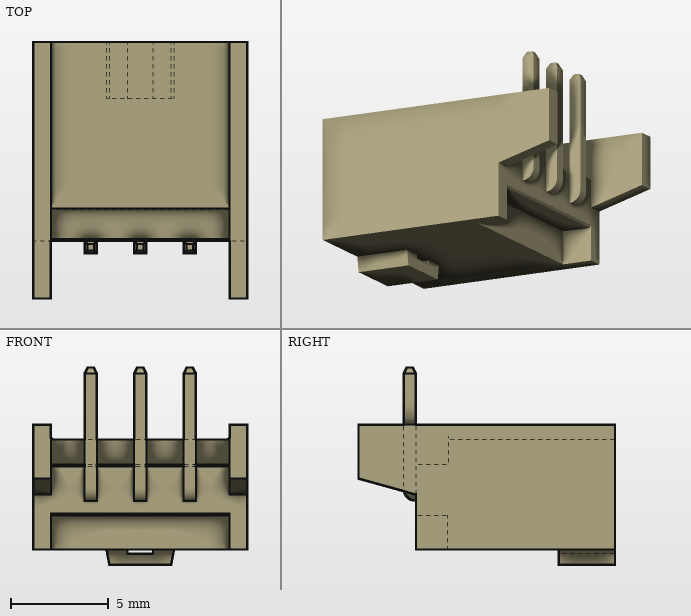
import cadquery as cq


width = 10.97
total_length = 13.14
total_height = 10.1
wing_reach = 2.94
body_length = total_length - wing_reach
wall_height = 6.4

wall_thickness = 0.91
wing_front_bottom = 3.63
wing_root_bottom = 2.81
inner_width = width - 2 * wall_thickness

deck_height = 5.64
ledge_height = 4.35
ledge_depth = 1.67
ledge_chamfer = 0.1
deck_fillet = 0.15

recess_height = 1.75
recess_depth = 1.63
recess_chamfer = 0.1

tab_height = 0.79
tab_top_width = 3.47
tab_bottom_width = 3.17
tab_length = 2.89
tab_slot_width = 1.3
tab_slot_depth = 0.21

pin_count = 3
pin_pitch = 2.54
pin_size = 0.63
pin_bottom = 2.5
pin_top = total_height - tab_height
pin_tip_height = 0.32
pin_tip_size = 0.32


def extrude_across(outline, extent):
    """Extrude a (Y, Z) outline along X, centred on X = 0."""
    return cq.Workplane("YZ").polyline(outline).close().extrude(extent / 2, both=True)


def make_block():
    """Stepped block between the walls, with its front recess."""
    return extrude_across(
        [
            (recess_depth, 0),
            (recess_depth, recess_height),
            (recess_chamfer, recess_height),
            (0, recess_height + recess_chamfer),
            (0, ledge_height - ledge_chamfer),
            (ledge_chamfer, ledge_height),
            (ledge_depth, ledge_height),
            (ledge_depth, deck_height),
            (body_length, deck_height),
            (body_length, 0),
        ],
        inner_width,
    )


def make_wall(side):
    """Full-length side wall with a tapered wing; side is -1 or +1."""
    outline = [
        (0, 0),
        (0, wing_root_bottom),
        (-wing_reach, wing_front_bottom),
        (-wing_reach, wall_height),
        (body_length, wall_height),
        (body_length, 0),
    ]
    wall_centre = side * (width - wall_thickness) / 2
    return extrude_across(outline, wall_thickness).translate((wall_centre, 0, 0))


def make_deck_fillet(side):
    """Concave fillet between the deck and the inner face of a wall."""
    wall_x = side * inner_width / 2
    return (
        cq.Workplane("XZ", origin=(0, body_length, 0))
        .moveTo(wall_x, deck_height)
        .lineTo(wall_x, deck_height + deck_fillet)
        .radiusArc((wall_x - side * deck_fillet, deck_height), side * deck_fillet)
        .close()
        .extrude(body_length - ledge_depth)
    )


def make_tab():
    """Tapered keying tab with a shallow slot along its root."""
    return (
        cq.Workplane("XZ", origin=(0, body_length, 0))
        .polyline(
            [
                (-tab_top_width / 2, 0),
                (-tab_bottom_width / 2, -tab_height),
                (tab_bottom_width / 2, -tab_height),
                (tab_top_width / 2, 0),
                (tab_slot_width / 2, 0),
                (tab_slot_width / 2, -tab_slot_depth),
                (-tab_slot_width / 2, -tab_slot_depth),
                (-tab_slot_width / 2, 0),
            ]
        )
        .close()
        .extrude(tab_length)
    )


def make_pin(x):
    """Upright square pin with a rounded elbow and a tapered tip."""
    shaft_top = pin_top - pin_tip_height
    shaft = (
        cq.Workplane("YZ")
        .moveTo(0, pin_bottom)
        .radiusArc((-pin_size, pin_bottom + pin_size), pin_size)
        .lineTo(-pin_size, shaft_top)
        .lineTo(0, shaft_top)
        .close()
        .extrude(pin_size / 2, both=True)
    )
    tip = (
        cq.Workplane("XY", origin=(0, -pin_size / 2, shaft_top))
        .rect(pin_size, pin_size)
        .workplane(offset=pin_tip_height)
        .rect(pin_tip_size, pin_tip_size)
        .loft()
    )
    return shaft.union(tip).translate((x, 0, 0))


result = make_block().union(make_tab())
for side in (-1, 1):
    result = result.union(make_wall(side)).union(make_deck_fillet(side))
for index in range(pin_count):
    result = result.union(make_pin((index - (pin_count - 1) / 2) * pin_pitch))